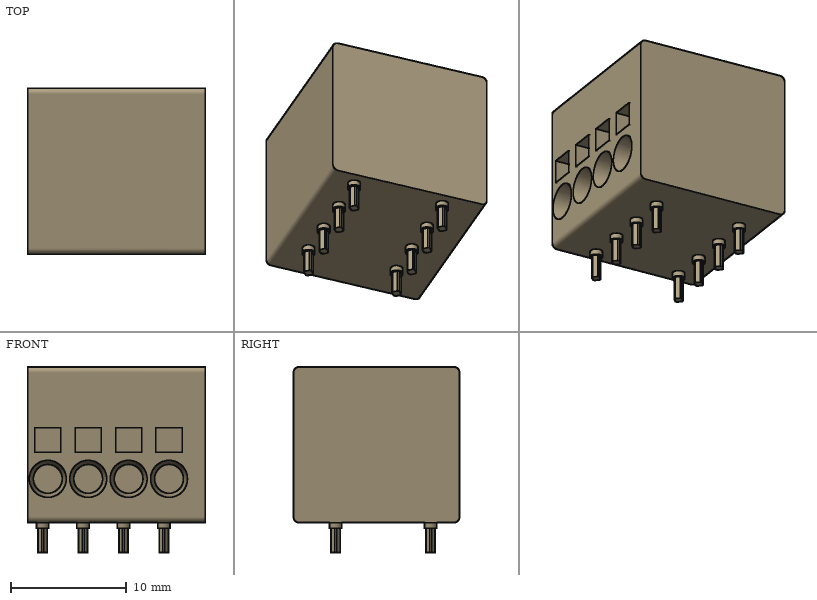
import cadquery as cq
import math

OVERALL_HEIGHT = 16.1
HOUSING_LENGTH = 15.4
HOUSING_DEPTH = 14.4
HOUSING_HEIGHT = 13.5
EDGE_RADIUS = 0.5

POLE_COUNT = 4
END_WALL = 1.4
POLE_PITCH = (HOUSING_LENGTH - END_WALL) / POLE_COUNT
FIRST_POLE_X = POLE_PITCH / 2

ENTRY_MOUTH_DIAMETER = 3.2
ENTRY_FLOOR_DIAMETER = 2.5
ENTRY_DEPTH = 1.85
ENTRY_Z = 3.8

POCKET_WIDTH = 2.27
POCKET_HEIGHT = 2.13
POCKET_DEPTH = 2.5
POCKET_Z = 7.16

PIN_LENGTH = OVERALL_HEIGHT - HOUSING_HEIGHT
COLLAR_DIAMETER = 1.1
COLLAR_HEIGHT = 0.5
SHANK_WIDTH = 0.8
SHANK_CORNER_FLAT = 0.18
FIRST_PIN_X = 1.3
FRONT_ROW_Y = 3.65
ROW_SPACING = 8.23
PIN_ROWS_Y = [FRONT_ROW_Y, FRONT_ROW_Y + ROW_SPACING]


def make_wire_entry(x):
    """Cone frustum that narrows from the front face into the housing."""
    mouth_radius = ENTRY_MOUTH_DIAMETER / 2
    floor_radius = ENTRY_FLOOR_DIAMETER / 2
    frustum = cq.Solid.makeCone(
        mouth_radius, floor_radius, ENTRY_DEPTH, pnt=cq.Vector(x, 0, ENTRY_Z), dir=cq.Vector(0, 1, 0)
    )
    return cq.Workplane(obj=frustum)


def make_release_pocket(x):
    """Straight rectangular pocket cut into the front face."""
    return (
        cq.Workplane("XY")
        .box(POCKET_WIDTH, POCKET_DEPTH, POCKET_HEIGHT, centered=(True, False, True))
        .translate((x, 0, POCKET_Z))
    )


def make_housing():
    """Block with its long edges rounded and one entry and pocket per pole."""
    body = (
        cq.Workplane("XY")
        .box(HOUSING_LENGTH, HOUSING_DEPTH, HOUSING_HEIGHT, centered=False)
        .edges("|X")
        .fillet(EDGE_RADIUS)
    )
    for pole in range(POLE_COUNT):
        x = FIRST_POLE_X + pole * POLE_PITCH
        body = body.cut(make_wire_entry(x)).cut(make_release_pocket(x))
    return body


def make_pin(x, y):
    """Round collar against the underside, with a shank of diamond section below."""
    collar = cq.Workplane("XY").circle(COLLAR_DIAMETER / 2).extrude(-COLLAR_HEIGHT)
    diamond_side = (SHANK_WIDTH + SHANK_CORNER_FLAT) / math.sqrt(2)
    diamond = cq.Workplane("XY").rect(diamond_side, diamond_side).extrude(-PIN_LENGTH)
    diamond = diamond.rotate((0, 0, 0), (0, 0, 1), 45)
    corner_limit = cq.Workplane("XY").rect(SHANK_WIDTH, SHANK_WIDTH).extrude(-PIN_LENGTH)
    shank = diamond.intersect(corner_limit)
    return collar.union(shank).translate((x, y, 0))


housing = make_housing()

pins = []
for row_y in PIN_ROWS_Y:
    for pole in range(POLE_COUNT):
        pins.append(make_pin(FIRST_PIN_X + pole * POLE_PITCH, row_y).val())

result = cq.Compound.makeCompound([housing.val(), *pins])